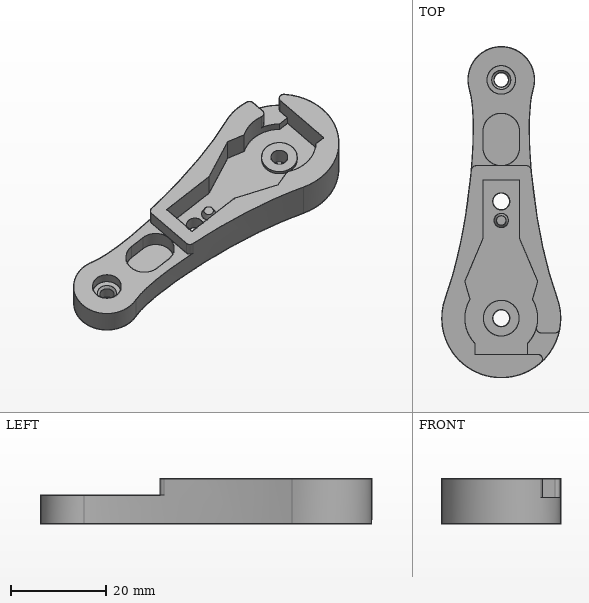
import cadquery as cq
import math

head_radius = 12.5
tip_radius = 7.0
center_distance = 50.0
full_height = 9.5
tip_height = 6.0

head_tangent_angle = 20.0
tip_tangent_angle = -17.0
head_handle = 15.5
tip_handle = 7.0

step_y = 32.0
step_corner_radius = 1.0
pocket_floor = 3.5
pocket_half_width = 3.85
pocket_end_y = 29.0
neck_end_y = 16.7
shoulder_y = 7.7
bowl_radius = 7.65
waist_y = 3.95
heel_half_width = 5.5
heel_y = -7.6

opening_depth = 4.0
opening_top_y = -3.1
opening_corner_radius = 1.0

through_diameter = 3.5
upper_hole_y = 24.5
seat_diameter = 7.5
seat_height = 0.75
pin_y = 20.5
pin_base_diameter = 3.0
pin_top_diameter = 2.0
pin_height = 1.25

counterbore_diameter = 6.0
counterbore_depth = 2.5
tip_hole_diameter = 3.0
countersink_diameter = 4.0

slot_width = 2 * pocket_half_width
slot_length = 11.0
slot_depth = 4.0


def circle_point(radius, angle, center_y=0.0):
    """Point on a circle centred on the Y axis; angle in degrees from +X."""
    a = math.radians(angle)
    return (radius * math.cos(a), center_y + radius * math.sin(a))


def mirrored(point):
    return (-point[0], point[1])


def upright_edges(x_min, x_max, y_min, y_max, z_min):
    """Selector for edges centred within the given area and between z_min and the top face."""
    margin = 0.1
    return cq.selectors.BoxSelector(
        (x_min - margin, y_min - margin, z_min + margin),
        (x_max + margin, y_max + margin, full_height - margin),
    )


def make_body():
    """Arm outline at full height, stepped down to the tip height beyond step_y."""
    head_point = circle_point(head_radius, head_tangent_angle)
    tip_point = circle_point(tip_radius, tip_tangent_angle, center_distance)
    head_dx, head_dy = circle_point(head_handle, head_tangent_angle + 90)
    tip_dx, tip_dy = circle_point(tip_handle, tip_tangent_angle - 90)
    head_control = (head_point[0] + head_dx, head_point[1] + head_dy)
    tip_control = (tip_point[0] + tip_dx, tip_point[1] + tip_dy)
    right_flank = [head_point, head_control, tip_control, tip_point]
    left_flank = [mirrored(p) for p in reversed(right_flank)]
    body = (
        cq.Workplane("XY")
        .moveTo(*head_point)
        .bezier(right_flank)
        .threePointArc((0, center_distance + tip_radius), mirrored(tip_point))
        .bezier(left_flank)
        .threePointArc((0, -head_radius), head_point)
        .close()
        .extrude(full_height)
    )
    step_length = center_distance + tip_radius - step_y
    step_depth = full_height - tip_height
    step = cq.Workplane("XY", origin=(-head_radius, step_y, tip_height)).box(
        2 * head_radius, step_length, step_depth, centered=False
    )
    corners = upright_edges(-head_radius, head_radius, step_y, step_y, tip_height)
    return body.cut(step).edges(corners).fillet(step_corner_radius)


def make_pocket():
    waist_x = math.sqrt(bowl_radius**2 - waist_y**2)
    bowl_end_y = -math.sqrt(bowl_radius**2 - heel_half_width**2)
    return (
        cq.Workplane("XY", origin=(0, 0, pocket_floor))
        .moveTo(-pocket_half_width, pocket_end_y)
        .lineTo(pocket_half_width, pocket_end_y)
        .lineTo(pocket_half_width, neck_end_y)
        .lineTo(bowl_radius, shoulder_y)
        .lineTo(waist_x, waist_y)
        .threePointArc((bowl_radius, 0), (heel_half_width, bowl_end_y))
        .lineTo(heel_half_width, heel_y)
        .lineTo(-heel_half_width, heel_y)
        .lineTo(-heel_half_width, bowl_end_y)
        .threePointArc((-bowl_radius, 0), (-waist_x, waist_y))
        .lineTo(-bowl_radius, shoulder_y)
        .lineTo(-pocket_half_width, neck_end_y)
        .close()
        .extrude(full_height - pocket_floor)
    )


def cut_side_opening(body):
    """Open the pocket wall towards +X and round the ends of the cut wall."""
    floor_z = full_height - opening_depth
    cutter = cq.Workplane("XY", origin=(0, heel_y, floor_z)).box(
        head_radius, opening_top_y - heel_y, opening_depth, centered=False
    )
    wall_ends = upright_edges(heel_half_width, head_radius, heel_y, opening_top_y, floor_z)
    return body.cut(cutter).edges(wall_ends).fillet(opening_corner_radius)


def cylinder(diameter, y, z, height):
    return cq.Workplane("XY", origin=(0, y, z)).circle(diameter / 2).extrude(height)


def cone(bottom_diameter, top_diameter, y, z, height):
    solid = cq.Solid.makeCone(bottom_diameter / 2, top_diameter / 2, height, cq.Vector(0, y, z))
    return cq.Workplane(obj=solid)


def add_pocket_details(body):
    body = body.union(cylinder(seat_diameter, 0, pocket_floor, seat_height))
    body = body.union(cone(pin_base_diameter, pin_top_diameter, pin_y, pocket_floor, pin_height))
    for hole_y in (0, upper_hole_y):
        body = body.cut(cylinder(through_diameter, hole_y, 0, full_height))
    return body


def cut_tip_hole(body):
    seat_z = tip_height - counterbore_depth
    sink_depth = (countersink_diameter - tip_hole_diameter) / 2
    body = body.cut(cylinder(counterbore_diameter, center_distance, seat_z, counterbore_depth))
    body = body.cut(cylinder(tip_hole_diameter, center_distance, 0, tip_height))
    return body.cut(
        cone(tip_hole_diameter, countersink_diameter, center_distance, seat_z - sink_depth, sink_depth)
    )


def cut_slot(body):
    slot = (
        cq.Workplane("XY", origin=(0, step_y + slot_length / 2, tip_height - slot_depth))
        .slot2D(slot_length, slot_width, 90)
        .extrude(slot_depth)
    )
    return body.cut(slot)


result = make_body().cut(make_pocket())
result = cut_side_opening(result)
result = add_pocket_details(result)
result = cut_tip_hole(result)
result = cut_slot(result)